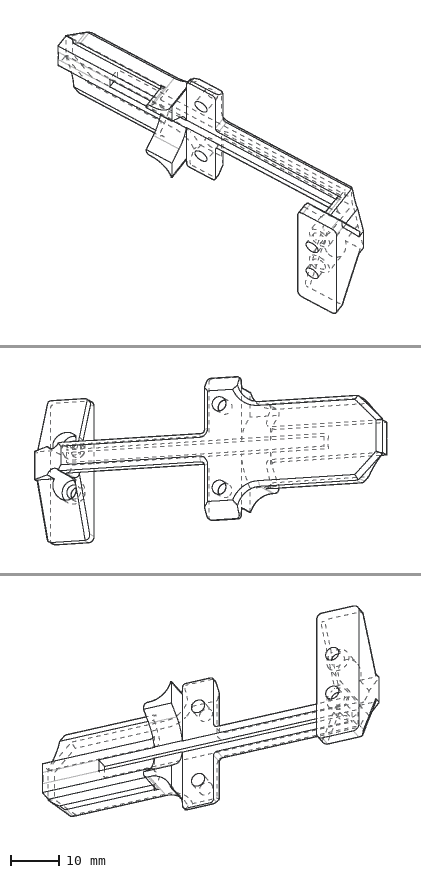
import cadquery as cq
import math

LENGTH = 78.7
DEPTH = 19.0
HALF_WIDTH = 30.0 / 2
BACK_CHAMFER = 1.0
CORNER_RADIUS = 1.0
SCREW_RADIUS = 1.5

PLATE_DEPTH = 4.0
NOSE_HALF_WIDTH = 9.0
NOSE_TIP_HALF_WIDTH = 3.7
NOSE_TAPER = NOSE_HALF_WIDTH - NOSE_TIP_HALF_WIDTH
NOSE_END = 25.5
EAR_START = 31.9
EAR_END = 38.95
EAR_RADIUS = 0.8
EAR_TAPER = 3.3
EAR_SCREW_X = (EAR_START + EAR_END) / 2
EAR_SCREW_Z = 8.8
STRUT_HALF_WIDTH = 3.0

RAIL_DEPTH = 4.25
CHANNEL_RADIUS = 9.6
CHANNEL_AXIS_DEPTH = 9.9
RIB_HALF_WIDTH = 3.5

SADDLE_DEPTH = 9.6
SADDLE_HALF_WIDTH = 12.7
SADDLE_RADIUS = 6.85
SADDLE_ARC_HALF_WIDTH = 5.6
BLEND_RADIUS = 5.0
BLEND_X = EAR_START - BLEND_RADIUS
BLEND_Z = NOSE_HALF_WIDTH + BLEND_RADIUS

SLOT_HALF_WIDTH = 1.3
SLOT_DEPTH = 3.0
SLOT_START = 12.8
GROOVE_SAG = 0.15

FOOT_START = 69.1
FOOT_EDGE_DEPTH = 16.1
FOOT_CORNER_RADIUS = 1.25
FLANK_CHAMFER = 0.51
STEM_DEPTH = 9.2
SLOPE_START = 70.0
FOOT_SCREW_X = 72.6
FOOT_SCREW_Z = 4.65
COUNTERBORE_RADIUS = 2.5


def front_plane(depth=0.0):
    """Plane facing -Y at the given depth; its local axes are X and Z."""
    return cq.Workplane("XZ", origin=(0, -depth, 0))


def cross_plane(x=0.0):
    """Plane facing +X; its local axes are Y and Z."""
    return cq.Workplane("YZ", origin=(x, 0, 0))


def block(x_start, x_end, half_width, depth):
    """Box on the back face, centred on Z = 0."""
    middle = (x_start + x_end) / 2
    return front_plane().center(middle, 0).rect(x_end - x_start, 2 * half_width).extrude(depth)


def round_corners(solid, x, z, depth, radius):
    """Fillet the two edges along Y at (x, z) and (x, -z) on a solid of the given depth."""
    for edge_z in (z, -z):
        nearest = cq.selectors.NearestToPointSelector((x, -depth / 2, edge_z))
        solid = solid.edges(nearest).fillet(radius)
    return solid


def frame_prism(ear_tip):
    """Frame outline at saddle depth: tapered nose, concave blends, ears out to ear_tip, strut."""
    blend_mid_x = BLEND_X + BLEND_RADIUS * math.sqrt(0.5)
    blend_mid_z = BLEND_Z - BLEND_RADIUS * math.sqrt(0.5)
    half = (
        front_plane()
        .moveTo(0, 0)
        .lineTo(0, NOSE_TIP_HALF_WIDTH)
        .lineTo(NOSE_TAPER, NOSE_HALF_WIDTH)
        .lineTo(BLEND_X, NOSE_HALF_WIDTH)
        .threePointArc((blend_mid_x, blend_mid_z), (EAR_START, BLEND_Z))
        .lineTo(EAR_START, ear_tip)
        .lineTo(EAR_END, ear_tip)
        .lineTo(EAR_END, STRUT_HALF_WIDTH)
        .lineTo(LENGTH, STRUT_HALF_WIDTH)
        .lineTo(LENGTH, 0)
        .close()
        .extrude(SADDLE_DEPTH)
    )
    prism = half.union(half.mirror("XY")).clean()
    return round_corners(prism, EAR_END, STRUT_HALF_WIDTH, SADDLE_DEPTH, EAR_RADIUS)


def frame_stock():
    """Frame chamfered round the back, with tapered ear tips and rounded outer corners."""
    rounded = frame_prism(HALF_WIDTH)
    rounded = round_corners(rounded, NOSE_TAPER, NOSE_HALF_WIDTH, SADDLE_DEPTH, CORNER_RADIUS)
    rounded = round_corners(rounded, EAR_START, HALF_WIDTH, SADDLE_DEPTH, EAR_RADIUS)
    rounded = round_corners(rounded, EAR_END, HALF_WIDTH, SADDLE_DEPTH, EAR_RADIUS)

    chamfered = frame_prism(HALF_WIDTH + EAR_TAPER).faces(">Y").chamfer(BACK_CHAMFER)

    taper_inner = HALF_WIDTH - EAR_TAPER
    tapered = (
        cross_plane()
        .polyline([
            (0, -taper_inner),
            (0, taper_inner),
            (-EAR_TAPER, HALF_WIDTH),
            (-SADDLE_DEPTH, HALF_WIDTH),
            (-SADDLE_DEPTH, -HALF_WIDTH),
            (-EAR_TAPER, -HALF_WIDTH),
        ])
        .close()
        .extrude(LENGTH)
    )
    return chamfered.intersect(rounded).intersect(tapered)


def nose_channel():
    """Cutter for the nose channel, flaring round the rib where the rib meets the saddle."""
    channel = (
        cross_plane().center(-CHANNEL_AXIS_DEPTH, 0).circle(CHANNEL_RADIUS).extrude(NOSE_END)
    )
    rib = block(0, NOSE_END, RIB_HALF_WIDTH, PLATE_DEPTH)
    rib = rib.union(block(NOSE_END, EAR_START, HALF_WIDTH, PLATE_DEPTH))
    rib = round_corners(rib, NOSE_END, RIB_HALF_WIDTH, PLATE_DEPTH, CORNER_RADIUS)
    return channel.cut(rib)


def saddle_envelope():
    """Space the saddle may fill, with rounded corners where it stands out below the nose."""
    body = block(NOSE_END, EAR_START, NOSE_HALF_WIDTH, SADDLE_DEPTH)
    body = body.edges("|Y and <X").fillet(CORNER_RADIUS)
    wings = block(BLEND_X, EAR_START, SADDLE_HALF_WIDTH, SADDLE_DEPTH)
    plate = block(NOSE_END, EAR_START, HALF_WIDTH, PLATE_DEPTH)
    return body.union(wings).union(plate)


def saddle_hollow():
    """Cutter for the saddle: an arc touching the plate's front, with tangent straight flanks."""
    flank_angle = math.asin(SADDLE_ARC_HALF_WIDTH / SADDLE_RADIUS)
    arc_depth = PLATE_DEPTH + SADDLE_RADIUS * (1 - math.cos(flank_angle))
    mouth_half_width = SADDLE_ARC_HALF_WIDTH + (SADDLE_DEPTH - arc_depth) / math.tan(flank_angle)
    return (
        cross_plane(NOSE_END)
        .moveTo(-SADDLE_DEPTH, -mouth_half_width)
        .lineTo(-arc_depth, -SADDLE_ARC_HALF_WIDTH)
        .threePointArc((-PLATE_DEPTH, 0), (-arc_depth, SADDLE_ARC_HALF_WIDTH))
        .lineTo(-SADDLE_DEPTH, mouth_half_width)
        .close()
        .extrude(EAR_START - NOSE_END)
    )


def frame():
    """Nose, saddle, ears and strut, each trimmed from the stock to its own depth."""
    stock = frame_stock()
    nose = stock.intersect(block(0, NOSE_END, HALF_WIDTH, RAIL_DEPTH)).cut(nose_channel())
    saddle = stock.intersect(saddle_envelope()).cut(saddle_hollow())
    ears_and_strut = stock.intersect(block(EAR_START, LENGTH, HALF_WIDTH, PLATE_DEPTH))
    return nose.union(saddle).union(ears_and_strut)


def foot():
    """Stem that spreads into a wide plate with rounded corners and chamfered flanks."""
    side = [
        (-STEM_DEPTH, STRUT_HALF_WIDTH),
        (-FOOT_EDGE_DEPTH, HALF_WIDTH),
        (-DEPTH, HALF_WIDTH),
    ]
    other_side = [(y, -z) for y, z in reversed(side)]
    flare = cross_plane(FOOT_START).polyline(side + other_side).close().extrude(LENGTH - FOOT_START)
    flank_middle_depth = (STEM_DEPTH + FOOT_EDGE_DEPTH) / 2
    flank_middle_z = (STRUT_HALF_WIDTH + HALF_WIDTH) / 2
    for z in (flank_middle_z, -flank_middle_z):
        for x in (FOOT_START, LENGTH):
            nearest = cq.selectors.NearestToPointSelector((x, -flank_middle_depth, z))
            flare = flare.edges(nearest).chamfer(FLANK_CHAMFER, 2 * FLANK_CHAMFER)
    rounded = block(FOOT_START, LENGTH, HALF_WIDTH, DEPTH).edges("|Y").fillet(FOOT_CORNER_RADIUS)

    stem = block(FOOT_START, LENGTH, STRUT_HALF_WIDTH, FOOT_EDGE_DEPTH)
    stem = stem.edges("|Y and <X").fillet(CORNER_RADIUS)
    stem = stem.faces(">Y").workplane(offset=-BACK_CHAMFER).split(keepBottom=True)
    return flare.intersect(rounded).union(stem)


def slope_cut():
    """45 degree wedge taken off the back between strut and foot."""
    run = LENGTH - SLOPE_START
    return (
        cq.Workplane("XY")
        .polyline([(SLOPE_START, 0), (LENGTH, -run), (LENGTH, 0)])
        .close()
        .extrude(HALF_WIDTH, both=True)
    )


def slot_cut():
    """Cutter for the front slot and the shallow groove that leads into it."""
    groove_radius = (SLOT_HALF_WIDTH**2 + GROOVE_SAG**2) / (2 * GROOVE_SAG)
    groove_axis_depth = PLATE_DEPTH - GROOVE_SAG + groove_radius
    groove = cross_plane().center(-groove_axis_depth, 0).circle(groove_radius).extrude(SLOT_START)
    floor = block(SLOT_START, FOOT_START, SLOT_HALF_WIDTH, PLATE_DEPTH - SLOT_DEPTH)
    slot = block(SLOT_START, FOOT_START, SLOT_HALF_WIDTH, SADDLE_DEPTH).cut(floor)
    return slot.union(groove)


def holes(x, z, radius, depth):
    """Pair of round cutters from the back, at (x, z) and (x, -z)."""
    return front_plane().pushPoints([(x, z), (x, -z)]).circle(radius).extrude(depth)


result = (
    frame()
    .union(foot())
    .cut(slope_cut())
    .cut(slot_cut())
    .cut(holes(EAR_SCREW_X, EAR_SCREW_Z, SCREW_RADIUS, DEPTH))
    .cut(holes(FOOT_SCREW_X, FOOT_SCREW_Z, SCREW_RADIUS, DEPTH))
    .cut(holes(FOOT_SCREW_X, FOOT_SCREW_Z, COUNTERBORE_RADIUS, FOOT_EDGE_DEPTH))
)